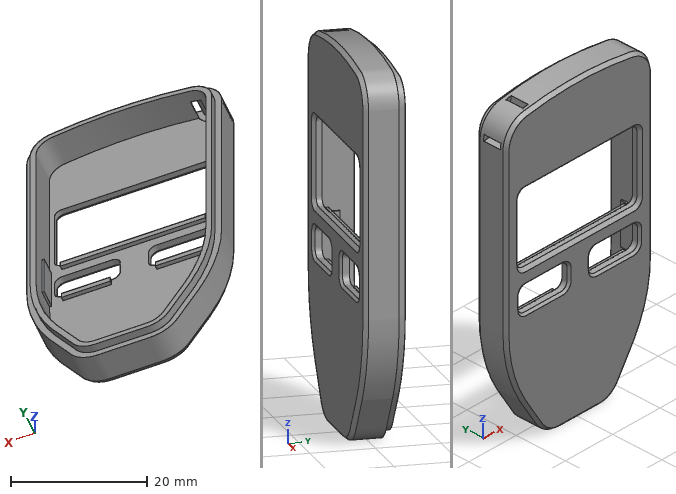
import cadquery as cq
import math

width = 30.9
height = 58.9
depth = 6.6
half_width = width / 2
half_height = height / 2

crown_edge_z = 28.5
crown_edge_x = 11.2
shoulder_z = 23.55
flank_top_z = -8.35
flank_end_x = 11.9
flank_end_z = -21.5
toe_start_x = 8.6
toe_start_z = -26.8
toe_half_width = 4.1

body_depth = 5.35
lip_inset = 1.05
cavity_inset = 2.0
front_thickness = 1.5
front_chamfer_depth = 0.7
front_chamfer_inset = 0.55

window_half_span = 12.65
display_bottom_z = 1.65
display_top_z = 15.35
display_radius = 1.2
display_chamfer = 0.6
button_inner_x = 2.25
button_bottom_z = -6.2
button_top_z = -1.3
button_radius = 1.35
button_chamfer = 0.4

sill_step = 0.2
sill_rear_y = 2.1
sill_rib_height = 1.0

ledge_top_z = 0.3
ledge_bottom_z = -7.8
ledge_rear_y = 4.35
ledge_width = 0.35

tunnel_outer_radius = 5.9
tunnel_inner_radius = 4.8
tunnel_front_y = 1.25
tunnel_rear_y = 4.65


def extrude_back(sketch, front_y, rear_y):
    """Extrude a sketch on the front plane so it fills front_y to rear_y."""
    return sketch.extrude(front_y - rear_y).translate((0, front_y, 0))


def bulge_point(start, end, tangent):
    """Midpoint of the arc that leaves start along the unit tangent and ends at end."""
    chord_x = end[0] - start[0]
    chord_z = end[1] - start[1]
    chord = math.hypot(chord_x, chord_z)
    cross = tangent[0] * chord_z - tangent[1] * chord_x
    dot = tangent[0] * chord_x + tangent[1] * chord_z
    half_angle = math.atan2(cross, dot)
    rise = chord / 2 * math.tan(half_angle / 2)
    mid_x = (start[0] + end[0]) / 2 + rise * chord_z / chord
    mid_z = (start[1] + end[1]) / 2 - rise * chord_x / chord
    return (mid_x, mid_z)


def case_outline():
    """Closed outline of the case: crowned top, straight sides, tapered lower end."""
    crown_edge = (crown_edge_x, crown_edge_z)
    shoulder = (half_width, shoulder_z)
    flank_top = (half_width, flank_top_z)
    flank_end = (flank_end_x, flank_end_z)
    toe_start = (toe_start_x, toe_start_z)
    toe_end = (toe_half_width, -half_height)

    corner_mid = bulge_point(shoulder, crown_edge, (0, 1))
    flank_mid = bulge_point(flank_top, flank_end, (0, -1))
    toe_mid = bulge_point(toe_end, toe_start, (1, 0))

    def mirrored(point):
        return (-point[0], point[1])

    return (
        cq.Workplane("XZ")
        .moveTo(*mirrored(crown_edge))
        .threePointArc((0, half_height), crown_edge)
        .threePointArc(corner_mid, shoulder)
        .lineTo(*flank_top)
        .threePointArc(flank_mid, flank_end)
        .lineTo(*toe_start)
        .threePointArc(toe_mid, toe_end)
        .lineTo(*mirrored(toe_end))
        .threePointArc(mirrored(toe_mid), mirrored(toe_start))
        .lineTo(*mirrored(flank_end))
        .threePointArc(mirrored(flank_mid), mirrored(flank_top))
        .lineTo(*mirrored(shoulder))
        .threePointArc(mirrored(corner_mid), mirrored(crown_edge))
        .close()
    )


def inset_solid(inset, front_y, rear_y):
    """The case outline shrunk by inset, filling front_y to rear_y."""
    return extrude_back(case_outline().offset2D(-inset), front_y, rear_y)


def shell():
    """Case body with a chamfered front edge, a stepped rear lip and an open back."""
    body = extrude_back(case_outline(), 0, body_depth)
    body = body.faces("<Y").chamfer(front_chamfer_depth, front_chamfer_inset)
    lip = inset_solid(lip_inset, body_depth, depth)
    cavity = inset_solid(cavity_inset, front_thickness, depth)
    return body.union(lip).cut(cavity)


def box_between(left, right, front_y, rear_y, bottom, top):
    """Axis-aligned box given by its limits."""
    corner = (left, front_y, bottom)
    box = cq.Workplane("XY").box(right - left, rear_y - front_y, top - bottom, centered=False)
    return box.translate(corner)


def rounded_rectangle(left, right, bottom, top, radius, growth=0):
    """Rounded rectangle sketch, grown outward on every side by growth."""
    return (
        cq.Sketch()
        .push([((left + right) / 2, (bottom + top) / 2)])
        .rect(right - left + 2 * growth, top - bottom + 2 * growth)
        .reset()
        .vertices()
        .fillet(radius + growth)
    )


def window_cutter(left, right, bottom, top, radius, chamfer):
    """Rounded window through the front wall, flared at the front face."""
    throat_shape = rounded_rectangle(left, right, bottom, top, radius)
    mouth_shape = rounded_rectangle(left, right, bottom, top, radius, chamfer)
    throat = cq.Workplane("XZ").placeSketch(throat_shape).extrude(-front_thickness)
    throat_start = cq.Location(cq.Vector(0, 0, -chamfer))
    flare = cq.Workplane("XZ").placeSketch(mouth_shape, throat_shape.moved(throat_start)).loft()
    return throat.union(flare)


def sill_rib(left, right, bottom, radius):
    """Low rib behind the front wall, just under the lower edge of a window."""
    rib_top = bottom - sill_step
    rib_bottom = rib_top - sill_rib_height
    return box_between(left + radius, right - radius, front_thickness, sill_rear_y, rib_bottom, rib_top)


def side_ledge(side):
    """Ledge on one cavity side wall; side is -1 for the left and 1 for the right."""
    ledge_inner_x = half_width - cavity_inset - ledge_width
    wall_middle_x = half_width - cavity_inset / 2
    left, right = sorted((side * ledge_inner_x, side * wall_middle_x))
    return box_between(left, right, front_thickness, ledge_rear_y, ledge_bottom_z, ledge_top_z)


def strap_tunnel():
    """Ring centred on the square corner of the case, cut around the upper left round."""
    ring = (
        cq.Workplane("XZ")
        .center(-half_width, half_height)
        .circle(tunnel_outer_radius)
        .circle(tunnel_inner_radius)
    )
    return extrude_back(ring, tunnel_front_y, tunnel_rear_y)


windows = [
    (-window_half_span, window_half_span, display_bottom_z, display_top_z, display_radius, display_chamfer),
    (-window_half_span, -button_inner_x, button_bottom_z, button_top_z, button_radius, button_chamfer),
    (button_inner_x, window_half_span, button_bottom_z, button_top_z, button_radius, button_chamfer),
]

result = shell()
for side in (-1, 1):
    result = result.union(side_ledge(side))
for left, right, bottom, top, radius, chamfer in windows:
    result = result.union(sill_rib(left, right, bottom, radius))
    result = result.cut(window_cutter(left, right, bottom, top, radius, chamfer))
result = result.cut(strap_tunnel())